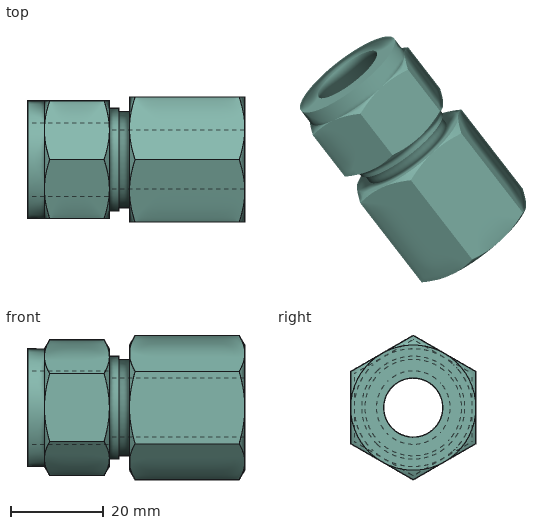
import cadquery as cq
import math


nut_start = 3.6
nut_end = 17.55
collar_end = 19.63
body_start = 21.9
total_length = 46.75

nut_flats = 25.37
body_flats = 26.95
half_flat_angle = 30.0
chamfer_angle = 30.0
cone_clearance = 0.95

lip_diameter = nut_flats
collar_diameter = 22.2
neck_diameter = 20.8

socket_diameter = 15.85
socket_depth = nut_end
bore_diameter = 12.65


def cylinder(start, end, diameter):
    return (
        cq.Workplane("YZ", origin=(start, 0, 0))
        .circle(diameter / 2)
        .extrude(end - start)
    )


def chamfered_hexagon(start, end, flats):
    """Hexagonal prism with corners up and down, both ends turned to a cone."""
    corners = flats / math.cos(math.radians(half_flat_angle))
    prism = (
        cq.Workplane("YZ", origin=(start, 0, 0))
        .transformed(rotate=(0, 0, 90))
        .polygon(6, corners)
        .extrude(end - start)
    )

    face_radius = flats / 2
    envelope_radius = corners / 2 + cone_clearance
    cone_length = (envelope_radius - face_radius) * math.tan(math.radians(chamfer_angle))
    envelope = (
        cq.Workplane("XY")
        .moveTo(start, 0)
        .lineTo(start, face_radius)
        .lineTo(start + cone_length, envelope_radius)
        .lineTo(end - cone_length, envelope_radius)
        .lineTo(end, face_radius)
        .lineTo(end, 0)
        .close()
        .revolve(360, (0, 0, 0), (1, 0, 0))
    )
    return prism.intersect(envelope)


lip = cylinder(0, nut_start, lip_diameter)
nut = chamfered_hexagon(nut_start, nut_end, nut_flats)
collar = cylinder(nut_end, collar_end, collar_diameter)
neck = cylinder(collar_end, body_start, neck_diameter)
body = chamfered_hexagon(body_start, total_length, body_flats)
outside = lip.union(nut).union(collar).union(neck).union(body)

socket = cylinder(0, socket_depth, socket_diameter)
bore = cylinder(0, total_length, bore_diameter)

result = outside.cut(socket).cut(bore)